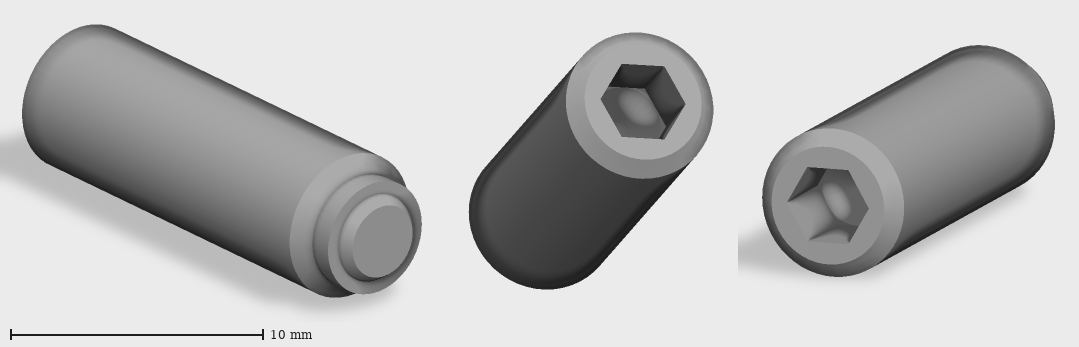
import cadquery as cq
import math

total_length = 20.1
body_diameter = 6.0
socket_end_chamfer = 0.62

collar_length = 1.0
collar_diameter = 4.7

ball_radius = 2.0
flat_radius = 1.5
ball_protrusion = 0.5

socket_across_flats = 3.0
socket_depth = 3.5
drill_point_angle = 102.0


def make_body():
    """Cylinder chamfered at both ends, stepping down to the collar."""
    radius = body_diameter / 2
    collar_radius = collar_diameter / 2
    collar_chamfer = radius - collar_radius
    collar_end = total_length - ball_protrusion
    collar_start = collar_end - collar_length
    profile = (
        cq.Workplane("XY")
        .moveTo(0, 0)
        .lineTo(0, radius - socket_end_chamfer)
        .lineTo(socket_end_chamfer, radius)
        .lineTo(collar_start - collar_chamfer, radius)
        .lineTo(collar_start, collar_radius)
        .lineTo(collar_end, collar_radius)
        .lineTo(collar_end, 0)
        .close()
    )
    return profile.revolve(360, (0, 0, 0), (1, 0, 0))


def make_ball():
    """Sphere cut off by the flat tip face."""
    flat_offset = math.sqrt(ball_radius**2 - flat_radius**2)
    center_x = total_length - flat_offset
    profile = (
        cq.Workplane("XY")
        .moveTo(center_x - ball_radius, 0)
        .threePointArc((center_x, ball_radius), (total_length, flat_radius))
        .lineTo(total_length, 0)
        .close()
    )
    return profile.revolve(360, (0, 0, 0), (1, 0, 0))


def make_socket():
    """Hexagonal prism with two flats facing up and down, ending in a drill cone."""
    across_corners = socket_across_flats / math.cos(math.pi / 6)
    hexagon = cq.Workplane("YZ").polygon(6, across_corners).extrude(socket_depth)
    drill_radius = socket_across_flats / 2
    cone_height = drill_radius / math.tan(math.radians(drill_point_angle / 2))
    cone = (
        cq.Workplane("XY")
        .moveTo(socket_depth, 0)
        .lineTo(socket_depth, drill_radius)
        .lineTo(socket_depth + cone_height, 0)
        .close()
        .revolve(360, (0, 0, 0), (1, 0, 0))
    )
    return hexagon.union(cone)


result = make_body().union(make_ball()).cut(make_socket())